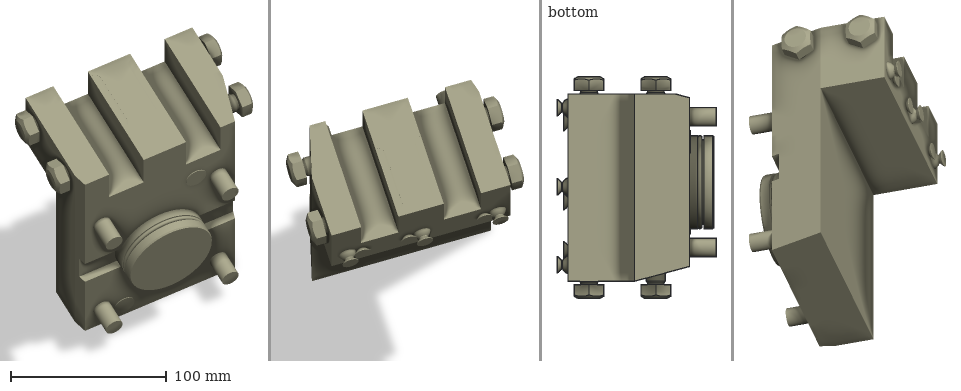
import math

import cadquery as cq


OVERALL_LENGTH = 102.55

BODY_DEPTH = 78.2
PLATE_DEPTH = 35.5
BODY_HEIGHT = 163.5
HEAD_HEIGHT = 48.3
TOP_Z = 98.6
BOTTOM_Z = TOP_Z - BODY_HEIGHT
TAPER_ANGLE = 15.0
MOUNT_HALF_WIDTH = 54.3
BACK_TAPER_LENGTH = 35.5
FRONT_TAPER_LENGTH = 9.3
TAPER_SLOPE = math.tan(math.radians(TAPER_ANGLE))
BACK_Y = MOUNT_HALF_WIDTH + BACK_TAPER_LENGTH * TAPER_SLOPE
FRONT_Y = -MOUNT_HALF_WIDTH - FRONT_TAPER_LENGTH * TAPER_SLOPE

SLOT_WIDTH = 25.0
SLOT_DEPTH = 25.0
SIDE_WALL = 20.0

RECESS_LENGTH = 45.5
RECESS_WIDTH = 5.2
RECESS_DEPTH = 0.1
RECESS_START_X = -74.0
RECESS_CORNER = 4.5

KEYWAY_WIDTH = 20.0
KEYWAY_DEPTH = 5.3

SPIGOT_RADIUS = 30.0
SPIGOT_LENGTH = 15.6
SPIGOT_CHAMFER_LENGTH = 1.0
SPIGOT_CHAMFER_DROP = 0.6
GROOVE_START = 5.2
GROOVE_END = 9.2
GROOVE_RADIUS = 27.4
RING_RADIUS = 1.4

PIN_RADIUS = 6.0
PIN_LENGTH = 17.3
PIN_Y = 42.0
PIN_Z = 47.0
SCREW_RADIUS = 7.25
SCREW_PROUD = 0.5
SCREW_Y = 26.0
SCREW_Z = 54.3

BOLT_X = (-64.7, -21.7)
BOLT_Z = TOP_Z - 12.9
BOLT_REACH = 11.0
HEX_FLATS = 19.2
HEX_HEIGHT = 8.9
HEX_FACE_RADIUS = 7.15
HEX_CHAMFER_ANGLE = 30.0
HEX_TURN = 30.0
SHANK_RADIUS = 6.2
NECK_RADIUS = 5.4
NECK_LENGTH = 1.2
NECK_TAPER_LENGTH = 1.1

NOZZLE_Y = (53.1, 3.0, -47.9)
NOZZLE_PITCH = 9.55
NOZZLE_Z = 63.0
LONG_PROUD = OVERALL_LENGTH - PIN_LENGTH - BODY_DEPTH
SHORT_PROUD = 2.8
DISC_RADIUS = 5.35
DISC_RIM = 0.4
NOZZLE_NECK_RADIUS = 2.8
NOZZLE_BALL_RADIUS = 6.0
NOZZLE_BALL_INSET = 1.8
NOZZLE_ROOT = 2.0

EMBED = 2.0


def box(x0, x1, y0, y1, z0, z1):
    return cq.Workplane("XY").box(x1 - x0, y1 - y0, z1 - z0, centered=False).translate((x0, y0, z0))


def rod_x(x0, x1, radius, y, z):
    return cq.Workplane("YZ", origin=(x0, y, z)).circle(radius).extrude(x1 - x0)


def make_body():
    plan = [
        (-BODY_DEPTH, FRONT_Y),
        (-FRONT_TAPER_LENGTH, FRONT_Y),
        (0, -MOUNT_HALF_WIDTH),
        (0, MOUNT_HALF_WIDTH),
        (-BACK_TAPER_LENGTH, BACK_Y),
        (-BODY_DEPTH, BACK_Y),
    ]
    body = cq.Workplane("XY", origin=(0, 0, BOTTOM_Z)).polyline(plan).close().extrude(BODY_HEIGHT)
    body = body.cut(box(-BODY_DEPTH, -PLATE_DEPTH, FRONT_Y, BACK_Y, BOTTOM_Z, TOP_Z - HEAD_HEIGHT))
    return body.cut(box(-KEYWAY_DEPTH, 0, FRONT_Y, BACK_Y, -KEYWAY_WIDTH / 2, KEYWAY_WIDTH / 2))


def make_tool_slots():
    front = FRONT_Y + SIDE_WALL
    back = BACK_Y - SIDE_WALL
    floor = TOP_Z - SLOT_DEPTH
    slots = box(-BODY_DEPTH, 0, front, front + SLOT_WIDTH, floor, TOP_Z)
    return slots.union(box(-BODY_DEPTH, 0, back - SLOT_WIDTH, back, floor, TOP_Z))


def make_rib_recesses():
    rib_sides = (FRONT_Y + SIDE_WALL + SLOT_WIDTH, BACK_Y - SIDE_WALL - SLOT_WIDTH)
    centre_x = RECESS_START_X + RECESS_LENGTH / 2
    return (
        cq.Workplane("XY", origin=(0, 0, TOP_Z - RECESS_DEPTH))
        .pushPoints([(centre_x, y) for y in rib_sides])
        .rect(RECESS_LENGTH, 2 * RECESS_WIDTH)
        .extrude(RECESS_DEPTH)
        .edges("|Z")
        .fillet(RECESS_CORNER)
    )


def make_spigot():
    """Spigot turned about the X axis; a sealing ring rests on the inner groove wall."""
    chamfer_start = SPIGOT_LENGTH - SPIGOT_CHAMFER_LENGTH
    profile = [
        (-KEYWAY_DEPTH - EMBED, 0),
        (-KEYWAY_DEPTH - EMBED, SPIGOT_RADIUS),
        (GROOVE_START, SPIGOT_RADIUS),
        (GROOVE_START, GROOVE_RADIUS),
        (GROOVE_END, GROOVE_RADIUS),
        (GROOVE_END, SPIGOT_RADIUS),
        (chamfer_start, SPIGOT_RADIUS),
        (SPIGOT_LENGTH, SPIGOT_RADIUS - SPIGOT_CHAMFER_DROP),
        (SPIGOT_LENGTH, 0),
    ]
    spigot = cq.Workplane("XY").polyline(profile).close().revolve(360, (0, 0, 0), (1, 0, 0))
    ring_centre = SPIGOT_RADIUS - RING_RADIUS
    ring = (
        cq.Workplane("XY")
        .moveTo(GROOVE_START, GROOVE_RADIUS)
        .lineTo(GROOVE_START, ring_centre)
        .threePointArc(
            (GROOVE_START + RING_RADIUS, SPIGOT_RADIUS),
            (GROOVE_START + 2 * RING_RADIUS, ring_centre),
        )
        .lineTo(GROOVE_START + 2 * RING_RADIUS, GROOVE_RADIUS)
        .close()
        .revolve(360, (0, 0, 0), (1, 0, 0))
    )
    return spigot.union(ring)


def make_hex_bolt(x, side):
    """Bolt standing on one side of the head; side is +1 for +Y and -1 for -Y."""
    side_y = BACK_Y if side > 0 else -FRONT_Y
    corner_radius = HEX_FLATS / math.sqrt(3)
    chamfer_drop = (corner_radius - HEX_FACE_RADIUS) * math.tan(math.radians(HEX_CHAMFER_ANGLE))
    tip = -SIDE_WALL / 2 - BOLT_REACH
    neck_end = -HEX_HEIGHT - NECK_LENGTH
    shank_start = neck_end - NECK_TAPER_LENGTH
    head = (
        cq.Workplane("XY", origin=(0, 0, -HEX_HEIGHT))
        .polygon(6, 2 * corner_radius)
        .extrude(HEX_HEIGHT)
        .rotate((0, 0, 0), (0, 0, 1), HEX_TURN)
    )
    turned_head = (
        cq.Workplane("XZ")
        .polyline([
            (0, -HEX_HEIGHT),
            (corner_radius, -HEX_HEIGHT),
            (corner_radius, -chamfer_drop),
            (HEX_FACE_RADIUS, 0),
            (0, 0),
        ])
        .close()
        .revolve(360, (0, 0, 0), (0, 1, 0))
    )
    shank = (
        cq.Workplane("XZ")
        .polyline([
            (0, -HEX_HEIGHT),
            (NECK_RADIUS, -HEX_HEIGHT),
            (NECK_RADIUS, neck_end),
            (SHANK_RADIUS, shank_start),
            (SHANK_RADIUS, tip),
            (0, tip),
        ])
        .close()
        .revolve(360, (0, 0, 0), (0, 1, 0))
    )
    bolt = head.intersect(turned_head).union(shank)
    bolt = bolt.rotate((0, 0, 0), (1, 0, 0), -90 * side)
    return bolt.translate((x, side * (side_y + BOLT_REACH), BOLT_Z))


def make_nozzle(y, proud):
    """Flared nozzle whose disc stands proud of the -X face."""
    face = -BODY_DEPTH
    disc = face - proud
    cone_start = disc + DISC_RIM
    cone_end = cone_start + DISC_RADIUS - NOZZLE_NECK_RADIUS
    profile = [
        (disc, 0),
        (disc, DISC_RADIUS),
        (cone_start, DISC_RADIUS),
        (cone_end, NOZZLE_NECK_RADIUS),
        (face + NOZZLE_ROOT, NOZZLE_NECK_RADIUS),
        (face + NOZZLE_ROOT, 0),
    ]
    nozzle = cq.Workplane("XY").polyline(profile).close().revolve(360, (0, 0, 0), (1, 0, 0))
    return nozzle.translate((0, y, NOZZLE_Z))


def make_nozzle_ball(y):
    centre = (-BODY_DEPTH + NOZZLE_BALL_INSET, y, NOZZLE_Z)
    return cq.Workplane("XY").sphere(NOZZLE_BALL_RADIUS).translate(centre)


result = make_body().cut(make_tool_slots()).cut(make_rib_recesses()).union(make_spigot())

for pin_y in (-PIN_Y, PIN_Y):
    for pin_z in (-PIN_Z, PIN_Z):
        result = result.union(rod_x(-EMBED, PIN_LENGTH, PIN_RADIUS, pin_y, pin_z))

for sign in (-1, 1):
    result = result.union(rod_x(-EMBED, SCREW_PROUD, SCREW_RADIUS, sign * SCREW_Y, sign * SCREW_Z))

for bolt_x in BOLT_X:
    for side in (-1, 1):
        result = result.union(make_hex_bolt(bolt_x, side))

for nozzle_y in NOZZLE_Y:
    step = -NOZZLE_PITCH if nozzle_y == max(NOZZLE_Y) else NOZZLE_PITCH
    result = result.union(make_nozzle_ball(nozzle_y))
    result = result.union(make_nozzle(nozzle_y, LONG_PROUD))
    result = result.union(make_nozzle(nozzle_y + step, SHORT_PROUD))